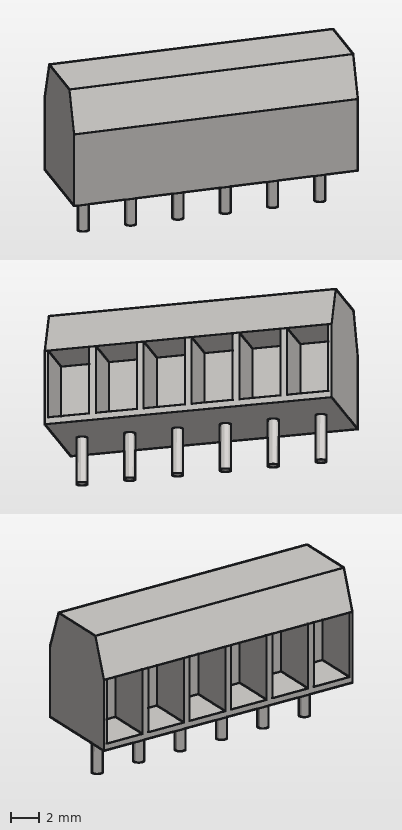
import cadquery as cq

WAY_COUNT = 6
LENGTH = 21.0
PITCH = LENGTH / WAY_COUNT
WIDTH = 6.9
HEIGHT = 8.5
SHOULDER_HEIGHT = 5.5
FLANK_INSET = 1.1

POCKET_WIDTH = 3.0
FLOOR_THICKNESS = 0.5
POCKET_HEIGHT = SHOULDER_HEIGHT - FLOOR_THICKNESS
POCKET_DEPTH = WIDTH / 2

TOTAL_HEIGHT = 11.9
PIN_DIAMETER = 0.8
PIN_LENGTH = TOTAL_HEIGHT - HEIGHT
PIN_X = 0.06

way_positions = [(i - (WAY_COUNT - 1) / 2) * PITCH for i in range(WAY_COUNT)]


def make_housing_block():
    """Prism along Y with two sloping flanks; its underside is at Z = 0."""
    half_width = WIDTH / 2
    half_top = half_width - FLANK_INSET
    return (
        cq.Workplane("XZ")
        .polyline([
            (-half_width, 0),
            (half_width, 0),
            (half_width, SHOULDER_HEIGHT),
            (half_top, HEIGHT),
            (-half_top, HEIGHT),
            (-half_width, SHOULDER_HEIGHT),
        ])
        .close()
        .extrude(LENGTH / 2, both=True)
    )


def make_pocket(y):
    """Rectangular blind cutter for one wire-entry pocket."""
    return (
        cq.Workplane("XY")
        .box(POCKET_DEPTH, POCKET_WIDTH, POCKET_HEIGHT, centered=(False, True, False))
        .translate((-WIDTH / 2, y, FLOOR_THICKNESS))
    )


def make_pin(y):
    """Round pin hanging from the underside of the housing."""
    return (
        cq.Workplane("XY")
        .center(PIN_X, y)
        .circle(PIN_DIAMETER / 2)
        .extrude(-PIN_LENGTH)
    )


housing = make_housing_block()
for way_y in way_positions:
    housing = housing.cut(make_pocket(way_y))

pins = [make_pin(way_y).val() for way_y in way_positions]

result = cq.Compound.makeCompound([housing.val(), *pins])